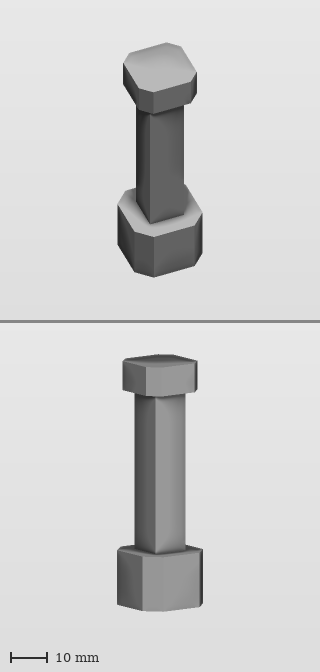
import cadquery as cq

total_height = 67.0
base_width = 20.0
base_height = 15.0
base_chamfer = 4.0
shaft_width = 10.0
head_width = 17.0
head_height = 8.0
head_chamfer = 3.0

shaft_height = total_height - base_height - head_height


def square_block(width, height, bottom):
    """Square block centred on the Z axis, standing on the height `bottom`."""
    block = cq.Workplane("XY").box(width, width, height, centered=(True, True, False))
    return block.translate((0, 0, bottom))


def chamfered_block(width, height, bottom, chamfer):
    """Square block with its four vertical edges chamfered."""
    return square_block(width, height, bottom).edges("|Z").chamfer(chamfer)


base = chamfered_block(base_width, base_height, 0, base_chamfer)
shaft = square_block(shaft_width, shaft_height, base_height)
head = chamfered_block(head_width, head_height, base_height + shaft_height, head_chamfer)

result = base.union(shaft).union(head)